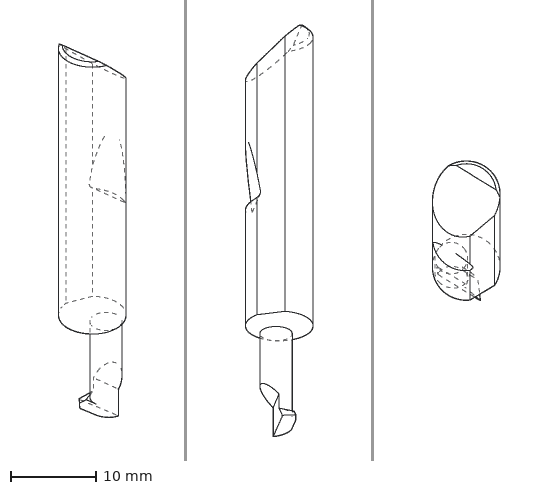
import cadquery as cq
import math

overall_length = 50.8
shank_diameter = 7.94
shank_length = 38.1
shank_radius = shank_diameter / 2
end_chamfer = 0.45

flat_distance = 3.59
flat_tilt = 26.2

bevel_angle = 45.0
bevel_start_y = -2.18

notch_bottom_z = 15.1
notch_depth = 1.36
notch_slope = 9.0
notch_corner_radius = 0.8

neck_radius = 1.9
neck_x = shank_radius - neck_radius
neck_length = overall_length - shank_length
half_cut_z = -8.75
half_cut_slope = 45.0

tip_x = -1.98
nose_radius = 0.2
head_front_x = -0.38
head_top_z = -10.65
back_face_angle = 43.0
back_face_top_x = 0.1
back_face_rake = 15.0
bottom_rise_x = 1.8
bottom_rise_y = 10.5

margin = 20.0


def tan(angle):
    return math.tan(math.radians(angle))


def block_above(origin, normal):
    """Large block lying on the outer side of a plane."""
    plane = cq.Plane(origin=origin, normal=normal)
    return cq.Workplane(plane).rect(4 * margin, 4 * margin).extrude(margin)


def make_shank():
    profile = [
        (0, 0),
        (shank_radius, 0),
        (shank_radius, shank_length - end_chamfer),
        (shank_radius - end_chamfer, shank_length),
        (0, shank_length),
    ]
    body = cq.Workplane("XZ").polyline(profile).close().revolve(360, (0, 0, 0), (0, 1, 0))
    flat_normal = (-math.cos(math.radians(flat_tilt)), math.sin(math.radians(flat_tilt)), 0)
    flat_origin = tuple(flat_distance * part for part in flat_normal)
    bevel = block_above((0, bevel_start_y, shank_length), (0, tan(bevel_angle), 1))
    return body.cut(block_above(flat_origin, flat_normal)).cut(bevel).cut(make_notch())


def make_notch():
    """Notch with a long sloping floor and a short wall square to it."""
    corner_y = shank_radius - notch_depth
    corner_z = notch_bottom_z + notch_depth * tan(notch_slope)
    reach = margin * tan(notch_slope)
    outline = [
        (corner_y, corner_z),
        (corner_y + reach, corner_z + margin),
        (corner_y + margin, corner_z + margin),
        (corner_y + margin, corner_z - reach),
    ]
    prism = cq.Workplane("YZ").polyline(outline).close().extrude(shank_radius, both=True)
    corner_edge = cq.selectors.NearestToPointSelector((0, corner_y, corner_z))
    return prism.edges(corner_edge).fillet(notch_corner_radius)


def make_neck():
    """Round neck, cut to its front half below a sloping runout."""
    neck = cq.Workplane("XY").center(neck_x, 0).circle(neck_radius).extrude(-neck_length)
    half_cut = [
        (0, half_cut_z),
        (margin, half_cut_z + margin * tan(half_cut_slope)),
        (margin, -margin),
        (0, -margin),
    ]
    return neck.cut(cq.Workplane("YZ").polyline(half_cut).close().extrude(margin, both=True))


def make_head():
    """Cutting head with its point at the -X end of the plane Y = 0."""
    outline = [
        (tip_x, 0),
        (head_front_x, -neck_radius),
        (neck_x, -neck_radius),
        (neck_x, 0),
    ]
    prism = cq.Workplane("XY").workplane(offset=head_top_z).polyline(outline).close()
    head = prism.extrude(-neck_length - head_top_z)
    slope = tan(back_face_angle)
    back_face_normal = (-slope, -slope * tan(back_face_rake), 1)
    return head.cut(block_above((back_face_top_x, 0, head_top_z), back_face_normal))


def make_bottom_relief():
    """Space under the end face, which rises from the tip toward +X and -Y."""
    return block_above((tip_x, 0, -neck_length), (tan(bottom_rise_x), -tan(bottom_rise_y), -1))


def make_cutting_end():
    """Neck and head with the relieved end face, rounded below the tip."""
    cutting_end = make_neck().union(make_head()).cut(make_bottom_relief())
    nose_edge = cq.selectors.NearestToPointSelector(
        ((tip_x + head_front_x) / 2, -neck_radius / 2, -neck_length)
    )
    return cutting_end.edges(nose_edge).fillet(nose_radius)


result = make_shank().union(make_cutting_end())